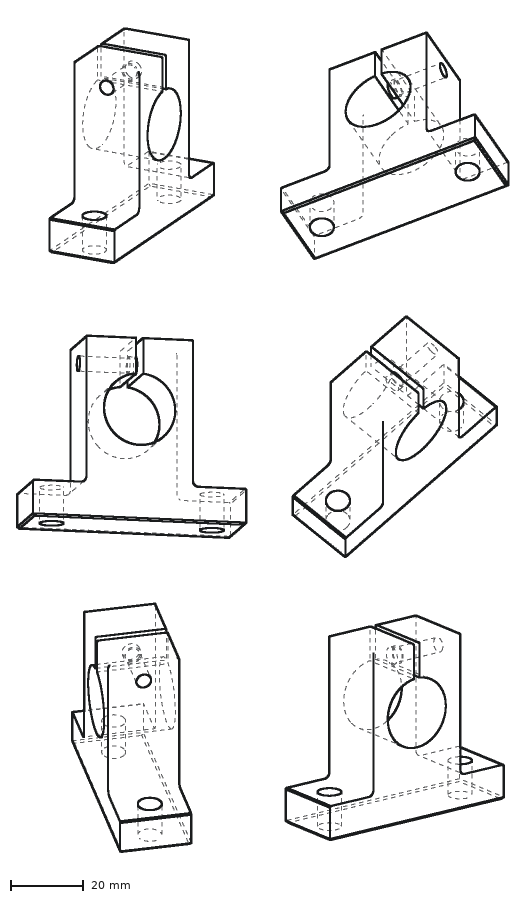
import cadquery as cq

WIDTH = 20.0
BASE_LENGTH = 60.0
BASE_HEIGHT = 10.0
HEIGHT = 51.0
TOWER_LENGTH = 30.0

TOP_RADIUS = 0.5
BOTTOM_CHAMFER = 0.55
BASE_END_CHAMFER = 0.35
ROOT_RADIUS = 1.5

BORE_DIAMETER = 20.0
BORE_HEIGHT = 31.0
SLOT_WIDTH = 2.0

SCREW_HEIGHT = 45.0
SCREW_DIAMETER = 5.0
TAPPED_DIAMETER = 4.13

MOUNT_DIAMETER = 6.6
MOUNT_SPACING = 45.0


def centred_box(length, height):
    """Full-width box standing on Z = 0, centred in X and Y."""
    return cq.Workplane("XY").box(WIDTH, length, height, centered=(True, True, False))


def make_body():
    """Inverted-T block with rounded roots and broken edges."""
    tower_half = TOWER_LENGTH / 2
    body = centred_box(BASE_LENGTH, BASE_HEIGHT).union(centred_box(TOWER_LENGTH, HEIGHT))
    for side in (-1, 1):
        root = cq.NearestToPointSelector((0, side * tower_half, BASE_HEIGHT))
        body = body.edges(root).fillet(ROOT_RADIUS)
    for side in (-1, 1):
        base_end = cq.NearestToPointSelector((0, side * BASE_LENGTH / 2, BASE_HEIGHT))
        body = body.edges(base_end).chamfer(BASE_END_CHAMFER)
    body = body.faces(">Z").edges().fillet(TOP_RADIUS)
    return body.faces("<Z").edges().chamfer(BOTTOM_CHAMFER)


def cut_clamp(body):
    """Shaft bore through the width and the slot that opens it to the top."""
    bore = (
        cq.Workplane("YZ")
        .center(0, BORE_HEIGHT)
        .circle(BORE_DIAMETER / 2)
        .extrude(WIDTH / 2, both=True)
    )
    slot = centred_box(SLOT_WIDTH, HEIGHT - BORE_HEIGHT).translate((0, 0, BORE_HEIGHT))
    return body.cut(bore).cut(slot)


def rod_along_y(diameter, start, end):
    """Cylinder on the screw axis between two Y positions."""
    plane = cq.Plane(origin=(0, start, SCREW_HEIGHT), xDir=(1, 0, 0), normal=(0, 1, 0))
    return cq.Workplane(plane).circle(diameter / 2).extrude(end - start)


def add_screw(body):
    """Screw shank bridging the slot, and the tapped hole leading to it from -Y."""
    slot_half = SLOT_WIDTH / 2
    tapped_hole = rod_along_y(TAPPED_DIAMETER, -TOWER_LENGTH / 2, -slot_half)
    shank = rod_along_y(SCREW_DIAMETER, -slot_half, slot_half)
    return body.cut(tapped_hole).union(shank)


def cut_mounting_holes(body):
    """Plain bolt holes through both ends of the base."""
    for side in (-1, 1):
        hole = (
            cq.Workplane("XY")
            .center(0, side * MOUNT_SPACING / 2)
            .circle(MOUNT_DIAMETER / 2)
            .extrude(BASE_HEIGHT)
        )
        body = body.cut(hole)
    return body


result = cut_mounting_holes(add_screw(cut_clamp(make_body())))